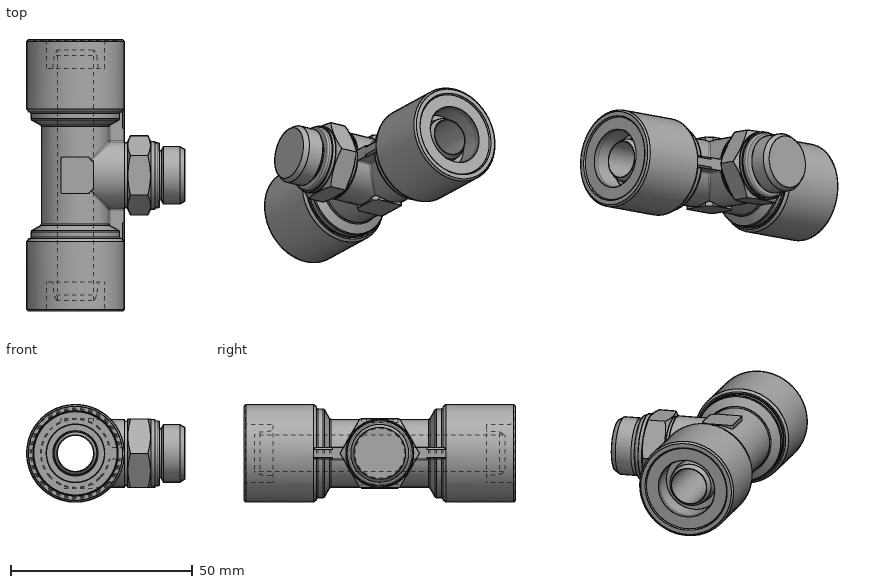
import cadquery as cq
import math

RUN_HALF_LENGTH = 37.5
BODY_RADIUS = 18.8 / 2
BORE_RADIUS = 10.0 / 2
CONE_FOOT_Y = 13.45
CONE_START_Y = 13.9
CONE_START_RADIUS = 9.65
CONE_END_Y = 15.25
CONE_END_RADIUS = 12.1
COLLAR_RADIUS = 12.3
COLLAR_START_Y = 15.7
COLLAR_END_Y = 17.05
CAP_RADIUS = 27.0 / 2
CAP_BACK_Y = 17.45
CAP_BACK_INNER_RADIUS = 12.45
CAP_BACK_OUTER_RADIUS = 12.85
CAP_BEVEL_END_Y = 18.3
CAP_MOUTH_CHAMFER = 0.5

SOCKET_RADIUS = 16.0 / 2
SOCKET_MOUTH_RADIUS = 16.18 / 2
SOCKET_MOUTH_DEPTH = 0.6
SOCKET_TAPER_DEPTH = 0.7
SOCKET_DEPTH = 8.0
NOZZLE_TIP_DEPTH = 2.9
NOZZLE_TIP_RADIUS = 5.1
NOZZLE_CONE_LENGTH = 1.5
NOZZLE_CONE_RADIUS = 11.8 / 2
NOZZLE_RADIUS = 12.5 / 2
LIP_INNER_RADIUS = 23.0 / 2
LIP_OUTER_RADIUS = 11.8
RECESS_DEPTH = 0.4

BRANCH_END_X = 13.5
SPIGOT_RADIUS = 18.0 / 2
NUT_START_X = 14.35
NUT_END_X = 20.85
NUT_ACROSS_FLATS = 19.0
NUT_CHAMFER = 0.85
NUT_FACE_RADIUS = 9.2
WASHER_RADIUS = 18.8 / 2
WASHER_END_X = 21.9
SEAL_RADIUS = 18.0 / 2
SEAL_END_X = 23.2
SEAL_ROUND = 0.5
GROOVE_RADIUS = 13.7 / 2
GROOVE_END_X = 23.7
THREAD_RADIUS = 16.0 / 2
THREAD_START_X = 24.3
THREAD_CHAMFER_X = 28.8
THREAD_TIP_RADIUS = 7.15
BRANCH_TIP_X = 30.2

PAD_START_X = -4.0
PAD_END_X = 5.0
PAD_HALF_WIDTH = 5.05
PAD_HEIGHT = 9.65
PAD_CORNER_RADIUS = 0.5
PAD_CORNER_CUT = 1.4

WEB_HALF_THICKNESS = 1.6
WEB_BEVEL = 0.5
WEB_BEVEL_START_Y = 13.1

JOINT_FILLET = 0.4


def cylinder_x(radius, start, end):
    """Cylinder on the X axis."""
    return cq.Workplane("YZ").workplane(offset=start).circle(radius).extrude(end - start)


def make_run_half():
    """Solid of revolution about Y, from the centre to the +Y end."""
    mouth_edge_y = RUN_HALF_LENGTH - CAP_MOUTH_CHAMFER
    profile = [
        (0, 0),
        (BODY_RADIUS, 0),
        (BODY_RADIUS, CONE_FOOT_Y),
        (CONE_START_RADIUS, CONE_START_Y),
        (CONE_END_RADIUS, CONE_END_Y),
        (COLLAR_RADIUS, COLLAR_START_Y),
        (COLLAR_RADIUS, COLLAR_END_Y),
        (CAP_BACK_INNER_RADIUS, CAP_BACK_Y),
        (CAP_BACK_OUTER_RADIUS, CAP_BACK_Y),
        (CAP_RADIUS, CAP_BEVEL_END_Y),
        (CAP_RADIUS, mouth_edge_y),
        (CAP_RADIUS - CAP_MOUTH_CHAMFER, RUN_HALF_LENGTH),
        (0, RUN_HALF_LENGTH),
    ]
    return cq.Workplane("XY").polyline(profile).close().revolve(360, (0, 0), (0, 1))


def make_socket_cut():
    """Shallow face recess and the annular socket around the nozzle, at the +Y end."""
    recess_y = RUN_HALF_LENGTH - RECESS_DEPTH
    mouth_end_y = recess_y - SOCKET_MOUTH_DEPTH
    tip_y = RUN_HALF_LENGTH - NOZZLE_TIP_DEPTH
    floor_y = RUN_HALF_LENGTH - SOCKET_DEPTH
    profile = [
        (0, RUN_HALF_LENGTH),
        (LIP_OUTER_RADIUS, RUN_HALF_LENGTH),
        (LIP_INNER_RADIUS, recess_y),
        (SOCKET_MOUTH_RADIUS, recess_y),
        (SOCKET_MOUTH_RADIUS, mouth_end_y),
        (SOCKET_RADIUS, mouth_end_y - SOCKET_TAPER_DEPTH),
        (SOCKET_RADIUS, floor_y),
        (NOZZLE_RADIUS, floor_y),
        (NOZZLE_CONE_RADIUS, tip_y - NOZZLE_CONE_LENGTH),
        (NOZZLE_TIP_RADIUS, tip_y),
        (0, tip_y),
    ]
    return cq.Workplane("XY").polyline(profile).close().revolve(360, (0, 0), (0, 1))


def make_nut():
    """Hexagon with flats facing +Z and -Z, both ends turned to a cone."""
    corner_radius = NUT_ACROSS_FLATS / 2 / math.cos(math.pi / 6)
    hexagon = (
        cq.Workplane("YZ")
        .workplane(offset=NUT_START_X)
        .polygon(6, 2 * corner_radius)
        .extrude(NUT_END_X - NUT_START_X)
    )
    envelope = [
        (NUT_START_X, 0),
        (NUT_START_X, NUT_FACE_RADIUS),
        (NUT_START_X + NUT_CHAMFER, corner_radius),
        (NUT_END_X - NUT_CHAMFER, corner_radius),
        (NUT_END_X, NUT_FACE_RADIUS),
        (NUT_END_X, 0),
    ]
    turned = cq.Workplane("XY").polyline(envelope).close().revolve(360, (0, 0), (1, 0))
    return hexagon.intersect(turned)


def make_branch_end():
    """Turned parts of the branch: spigot, washer, seal ring, groove and thread."""
    spigot = cylinder_x(SPIGOT_RADIUS, 0, NUT_END_X)
    washer = cylinder_x(WASHER_RADIUS, NUT_END_X, WASHER_END_X)
    seal = cylinder_x(SEAL_RADIUS, NUT_END_X, SEAL_END_X).faces(">X").edges().fillet(SEAL_ROUND)
    thread_profile = [
        (0, 0),
        (0, GROOVE_RADIUS),
        (GROOVE_END_X, GROOVE_RADIUS),
        (THREAD_START_X, THREAD_RADIUS),
        (THREAD_CHAMFER_X, THREAD_RADIUS),
        (BRANCH_TIP_X, THREAD_TIP_RADIUS),
        (BRANCH_TIP_X, 0),
    ]
    thread = cq.Workplane("XY").polyline(thread_profile).close().revolve(360, (0, 0), (1, 0))
    return spigot.union(washer).union(seal).union(thread).union(make_nut())


def make_pads():
    """One block through the body, so that both pads stand proud of it."""
    return (
        cq.Workplane("XY")
        .center((PAD_START_X + PAD_END_X) / 2, 0)
        .rect(PAD_END_X - PAD_START_X, 2 * PAD_HALF_WIDTH)
        .extrude(PAD_HEIGHT, both=True)
        .edges("|Z and <X")
        .fillet(PAD_CORNER_RADIUS)
        .edges("|Z and >X")
        .chamfer(PAD_CORNER_CUT)
    )


def make_web():
    """Plate whose outer edges are bevelled beside the collars and caps."""
    plate = cq.Workplane("XY").box(
        BRANCH_END_X, 2 * CAP_BEVEL_END_Y, 2 * WEB_HALF_THICKNESS, centered=(False, True, True)
    )
    bevelled = plate.faces(">X").edges("|Y").chamfer(WEB_BEVEL)
    middle = cq.Workplane("XY").box(
        BRANCH_END_X, 2 * WEB_BEVEL_START_Y, 2 * WEB_HALF_THICKNESS, centered=(False, True, True)
    )
    return bevelled.union(middle)


def fillet_joints(tee):
    """Round the inner edges between body, branch and web on both sides of the branch."""
    reach_x = BRANCH_END_X - WEB_BEVEL / 2
    mitre_start = BODY_RADIUS / 2
    plus_y_side = cq.selectors.BoxSelector(
        (mitre_start, mitre_start, -BODY_RADIUS), (reach_x, WEB_BEVEL_START_Y - WEB_BEVEL, BODY_RADIUS)
    )
    minus_y_side = cq.selectors.BoxSelector(
        (mitre_start, -mitre_start, -BODY_RADIUS), (reach_x, WEB_BEVEL - WEB_BEVEL_START_Y, BODY_RADIUS)
    )
    return tee.edges(plus_y_side + minus_y_side).fillet(JOINT_FILLET)


run_half = make_run_half()
body = run_half.union(run_half.mirror("XZ"))
body = body.union(cylinder_x(BODY_RADIUS, 0, BRANCH_END_X)).union(make_web())
body = fillet_joints(body)
body = body.union(make_branch_end()).union(make_pads())

socket_cut = make_socket_cut()
body = body.cut(socket_cut).cut(socket_cut.mirror("XZ"))
bore = cq.Workplane("XZ").circle(BORE_RADIUS).extrude(RUN_HALF_LENGTH, both=True)
result = body.cut(bore)